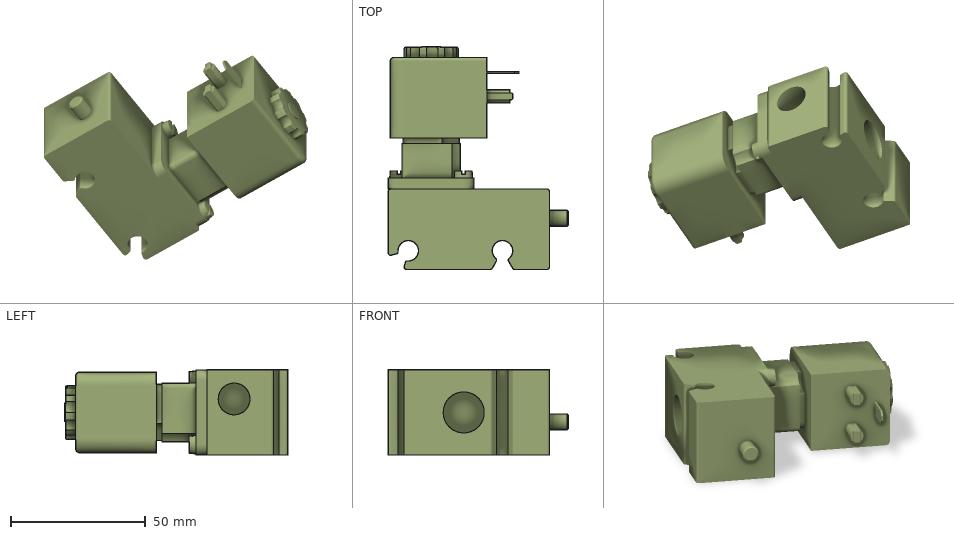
import cadquery as cq
import math

BLOCK_X = 60.0
BLOCK_Y = 30.0
BLOCK_Z = 31.75
BLOCK_CORNER_R = 1.0

SLOT_DIA = 7.5
SLOT_Y = 7.0
SLOT_SPACING = 35.0
CORNER_SLOT_X = 7.5
FRONT_SLOT_X = CORNER_SLOT_X + SLOT_SPACING
CORNER_SLOT_TURN = -45.0
SLOT_MOUTH_ANGLE = 60.0
SLOT_NECK_R = 0.8

FRONT_PORT_DIA = 15.25
FRONT_PORT_X = 28.1
FRONT_PORT_DEPTH = 16.0
SIDE_PORT_DIA = 11.8
SIDE_PORT_Y = 20.0
SIDE_PORT_Z = BLOCK_Z / 2 + 5.0
SIDE_PORT_DEPTH = 12.0
BLOCK_PIN_DIA = 6.0
BLOCK_PIN_LENGTH = 7.0
BLOCK_PIN_Y = 19.1
BLOCK_PIN_Z = BLOCK_Z / 2 - 3.5
BLOCK_PIN_CHAMFER = 0.5

FLANGE_X = 32.0
FLANGE_Z = BLOCK_Z - 0.1
AXIS_X = FLANGE_X / 2
AXIS_Z = BLOCK_Z / 2
FLANGE_END = BLOCK_Y + 4.1
FLANGE_CORNER_R = 3.85

BODY_SIDE = 21.8
BODY_END = FLANGE_END + 12.7
BODY_CORNER_R = 1.9
SCREW_RELIEF_R = 4.4

COLLAR_SIDE = 21.0
COLLAR_END = BODY_END + 2.1
COLLAR_CORNER_R = 3.5
COLLAR_NOTCH = 6.4
COLLAR_NOTCH_R = 2.9

COIL_X = 36.0
COIL_Z = 30.0
COIL_MIN_X = 0.75
COIL_MAX_X = COIL_MIN_X + COIL_X
COIL_END = COLLAR_END + 30.0
COIL_CORNER_R = 5.0
COIL_EDGE_R = 1.5

SCREW_OFFSET = 12.0
SCREW_DIA = 6.9
SCREW_HEIGHT = 2.6
SCREW_TAPER = 5.0
SCREW_SLOT_WIDTH = 1.2
SCREW_SLOT_DEPTH = 1.2

NUT_DIA = 20.2
NUT_END = COIL_END + 3.75
NUT_EDGE_R = 0.7
FLUTE_COUNT = 9
FLUTE_FIRST_ANGLE = 8.0
FLUTE_R = 2.5
FLUTE_CENTER_R = 11.15
STEM_DIA = 6.9
STEM_END = 83.0

CONTACT_DIA = 5.0
CONTACT_LENGTH = 8.5
CONTACT_Y = 64.4
CONTACT_OFFSET_Z = 7.4
TONGUE_WIDTH = 2.6
TONGUE_LENGTH = 9.6
TONGUE_CHAMFER = 0.4
BLADE_Y = 73.3
BLADE_THICKNESS = 0.7
BLADE_WIDTH = 5.0
BLADE_LENGTH = 11.9
BLADE_CHAMFER = 1.6


def valve_section(size_x, size_z, start, end):
    """Rectangular prism centred on the valve axis between two Y positions."""
    center = (AXIS_X, (start + end) / 2, AXIS_Z)
    return cq.Workplane("XY").box(size_x, end - start, size_z).translate(center)


def cylinder_along_y(dia, start, end, x=AXIS_X, z=AXIS_Z):
    solid = cq.Solid.makeCylinder(dia / 2, end - start, cq.Vector(x, start, z), cq.Vector(0, 1, 0))
    return cq.Workplane(obj=solid)


def cylinder_along_x(dia, start, length, y, z):
    solid = cq.Solid.makeCylinder(dia / 2, length, cq.Vector(start, y, z), cq.Vector(1, 0, 0))
    return cq.Workplane(obj=solid)


def keyhole_slot(x, turn):
    """Round hole whose mouth is a wedge from the hole centre; turn swings the mouth away from -Y."""
    reach = 2 * SLOT_Y
    half_width = reach * math.tan(math.radians(SLOT_MOUTH_ANGLE / 2))
    mouth = (
        cq.Workplane("XY")
        .polyline([(0, 0), (half_width, -reach), (-half_width, -reach)])
        .close()
        .extrude(BLOCK_Z)
    )
    hole = cq.Workplane("XY").circle(SLOT_DIA / 2).extrude(BLOCK_Z)
    return hole.union(mouth).rotate((0, 0, 0), (0, 0, 1), turn).translate((x, SLOT_Y, 0))


def is_slot_neck(edge):
    """True for the upright edges where a slot's mouth meets its round hole."""
    mid = edge.Center()
    distances = [math.hypot(mid.x - x, mid.y - SLOT_Y) for x in (CORNER_SLOT_X, FRONT_SLOT_X)]
    return abs(min(distances) - SLOT_DIA / 2) < SLOT_NECK_R


def make_block():
    block = cq.Workplane("XY").box(BLOCK_X, BLOCK_Y, BLOCK_Z, centered=False)
    block = block.cut(keyhole_slot(CORNER_SLOT_X, CORNER_SLOT_TURN))
    block = block.cut(keyhole_slot(FRONT_SLOT_X, 0))

    corners = [edge for edge in block.edges("|Z").vals() if not is_slot_neck(edge)]
    block = block.newObject(corners).fillet(BLOCK_CORNER_R)
    necks = [edge for edge in block.edges("|Z").vals() if is_slot_neck(edge)]
    block = block.newObject(necks).fillet(SLOT_NECK_R)

    block = block.cut(cylinder_along_y(FRONT_PORT_DIA, 0, FRONT_PORT_DEPTH, FRONT_PORT_X))
    block = block.cut(cylinder_along_x(SIDE_PORT_DIA, 0, SIDE_PORT_DEPTH, SIDE_PORT_Y, SIDE_PORT_Z))
    pin = cylinder_along_x(BLOCK_PIN_DIA, BLOCK_X, BLOCK_PIN_LENGTH, BLOCK_PIN_Y, BLOCK_PIN_Z)
    return block.union(pin.faces(">X").chamfer(BLOCK_PIN_CHAMFER))


def make_flange():
    return valve_section(FLANGE_X, FLANGE_Z, BLOCK_Y, FLANGE_END).edges("|Y").fillet(FLANGE_CORNER_R)


def round_plain_corners(section, radius):
    """Round the two corners of a section that face no flange screw."""
    for x_end, z_end in (("<X", ">Z"), (">X", "<Z")):
        section = section.faces(x_end).edges(z_end).fillet(radius)
    return section


def screw_positions():
    """Axes of the two screws, on diagonally opposite corners of the flange."""
    return [(AXIS_X + side * SCREW_OFFSET, AXIS_Z + side * SCREW_OFFSET) for side in (-1, 1)]


def make_body():
    body = valve_section(BODY_SIDE, BODY_SIDE, FLANGE_END, BODY_END)
    body = round_plain_corners(body, BODY_CORNER_R)
    for x, z in screw_positions():
        body = body.cut(cylinder_along_y(2 * SCREW_RELIEF_R, FLANGE_END, BODY_END, x, z))
    return body


def make_collar():
    collar = valve_section(COLLAR_SIDE, COLLAR_SIDE, BODY_END, COLLAR_END)
    collar = round_plain_corners(collar, COLLAR_CORNER_R)
    notch = valve_section(2 * COLLAR_NOTCH, 2 * COLLAR_NOTCH, BODY_END, COLLAR_END)
    notch = notch.edges("|Y").fillet(COLLAR_NOTCH_R)
    for side in (-1, 1):
        shift = side * COLLAR_SIDE / 2
        collar = collar.cut(notch.translate((shift, 0, shift)))
    return collar


def make_screw(x, z):
    head = (
        cq.Workplane("XZ", origin=(x, FLANGE_END, z))
        .circle(SCREW_DIA / 2)
        .extrude(-SCREW_HEIGHT, taper=SCREW_TAPER)
    )
    slot = cq.Workplane("XY").box(SCREW_SLOT_WIDTH, 2 * SCREW_SLOT_DEPTH, 2 * SCREW_DIA)
    return head.cut(slot.translate((x, FLANGE_END + SCREW_HEIGHT, z)))


def make_coil():
    coil = cq.Workplane("XY").box(COIL_X, COIL_END - COLLAR_END, COIL_Z)
    coil = coil.edges("|Y and <X").fillet(COIL_CORNER_R)
    coil = coil.faces(">Y").edges("not >X").fillet(COIL_EDGE_R)
    return coil.translate((COIL_MIN_X + COIL_X / 2, (COLLAR_END + COIL_END) / 2, AXIS_Z))


def make_nut():
    nut = cylinder_along_y(NUT_DIA, COIL_END, NUT_END).faces(">Y").edges().fillet(NUT_EDGE_R)
    for index in range(FLUTE_COUNT):
        angle = math.radians(FLUTE_FIRST_ANGLE + index * 360 / FLUTE_COUNT)
        x = AXIS_X + FLUTE_CENTER_R * math.cos(angle)
        z = AXIS_Z + FLUTE_CENTER_R * math.sin(angle)
        nut = nut.cut(cylinder_along_y(2 * FLUTE_R, COIL_END, NUT_END, x, z))
    return nut.union(cylinder_along_y(STEM_DIA, COIL_END, STEM_END))


def make_contact(z):
    """Round contact, flattened above and below to a tongue that reaches past its end."""
    tongue_height = math.sqrt(CONTACT_DIA**2 - TONGUE_WIDTH**2)
    barrel = cylinder_along_x(CONTACT_DIA, COIL_MAX_X, CONTACT_LENGTH, CONTACT_Y, z)
    flats = cq.Workplane("XY").box(2 * CONTACT_LENGTH, CONTACT_DIA, tongue_height)
    flats = flats.translate((COIL_MAX_X, CONTACT_Y, z))
    tongue = cq.Workplane("XY").box(TONGUE_LENGTH, TONGUE_WIDTH, tongue_height)
    tongue = tongue.edges("|Z and >X").chamfer(TONGUE_CHAMFER)
    tongue = tongue.translate((COIL_MAX_X + TONGUE_LENGTH / 2, CONTACT_Y, z))
    return barrel.intersect(flats).union(tongue)


def make_blade():
    blade = cq.Workplane("XY").box(BLADE_LENGTH, BLADE_THICKNESS, BLADE_WIDTH)
    blade = blade.faces(">X").edges("|Y").chamfer(BLADE_CHAMFER)
    return blade.translate((COIL_MAX_X + BLADE_LENGTH / 2, BLADE_Y, AXIS_Z))


result = make_block().union(make_flange()).union(make_body()).union(make_collar())
for screw_x, screw_z in screw_positions():
    result = result.union(make_screw(screw_x, screw_z))
result = result.union(make_coil()).union(make_nut()).union(make_blade())
for side in (-1, 1):
    result = result.union(make_contact(AXIS_Z + side * CONTACT_OFFSET_Z))